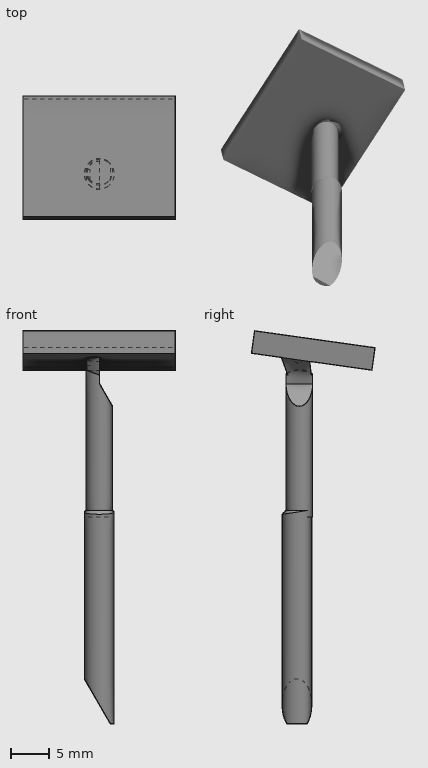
import cadquery as cq
import math

plate_width = 20.0
plate_length = 16.0
plate_thickness = 3.0
plate_tilt = 8.0
plate_top_y = -5.55
plate_top_z = 51.55

lower_radius = 1.95
shoulder_top = 28.0

upper_radius = 1.75
upper_offset_y = 0.3
upper_bottom = 27.1
upper_top = 46.4
lap_edge_z = 45.75

bevel_slope = math.tan(math.radians(60))
tip_x = 1.45
lap_face_x = 0.05
lap_bevel_z = 44.6

neck_bottom = 45.7
neck_base_radius = 1.55
neck_base_y = 0.35
neck_end_radius = 1.85
neck_end_y = -0.25
neck_end_z = 48.2

notch_back_y = 0.55
notch_front_y = -0.65
notch_back_z = 47.0
notch_front_z = 47.75
notch_top_z = 49.0
notch_face_x = -1.25


def make_plate():
    slab = cq.Workplane("XY").box(
        plate_width, plate_length, plate_thickness, centered=(True, False, False)
    )
    return (
        slab.translate((0, 0, -plate_thickness))
        .rotate((0, 0, 0), (1, 0, 0), -plate_tilt)
        .translate((0, plate_top_y, plate_top_z))
    )


def make_lower_shaft():
    cone_reach = lower_radius + upper_offset_y
    shaft = cq.Workplane("XY").circle(lower_radius).extrude(shoulder_top)
    cone = (
        cq.Workplane("XZ", origin=(0, upper_offset_y, 0))
        .polyline([
            (0, 0),
            (cone_reach, 0),
            (cone_reach, shoulder_top + upper_radius - cone_reach),
            (upper_radius, shoulder_top),
            (0, shoulder_top),
        ])
        .close()
        .revolve(360, (0, 0, 0), (0, 1, 0))
    )
    bevel_height = (tip_x + lower_radius) * bevel_slope
    bevel = (
        cq.Workplane("XZ")
        .polyline([(-lower_radius, 0), (tip_x, 0), (-lower_radius, bevel_height)])
        .close()
        .extrude(lower_radius, both=True)
    )
    return shaft.intersect(cone).cut(bevel)


def make_upper_shaft():
    shaft = (
        cq.Workplane("XY", origin=(0, upper_offset_y, upper_bottom))
        .circle(upper_radius)
        .extrude(upper_top - upper_bottom)
    )
    bevel_end_z = lap_bevel_z - (upper_radius - lap_face_x) * bevel_slope
    lap = (
        cq.Workplane("XZ", origin=(0, upper_offset_y, 0))
        .polyline([
            (-upper_radius, upper_top),
            (lap_face_x, lap_edge_z),
            (lap_face_x, lap_bevel_z),
            (upper_radius, bevel_end_z),
            (upper_radius, upper_top),
        ])
        .close()
        .extrude(upper_radius, both=True)
    )
    return shaft.cut(lap)


def half_round_wire(radius, center_y, z):
    return (
        cq.Workplane("XY", origin=(lap_face_x, center_y, z))
        .moveTo(0, -radius)
        .threePointArc((-radius, 0), (0, radius))
        .close()
        .val()
    )


def make_neck(plate):
    base = half_round_wire(neck_base_radius, neck_base_y, neck_bottom)
    end = half_round_wire(neck_end_radius, neck_end_y, neck_end_z)
    neck = cq.Workplane(cq.Solid.makeLoft([base, end], True))
    notch = (
        cq.Workplane("YZ", origin=(notch_face_x, 0, 0))
        .polyline([
            (notch_back_y, notch_back_z),
            (notch_front_y, notch_front_z),
            (notch_front_y, notch_top_z),
            (notch_back_y, notch_top_z),
        ])
        .close()
        .extrude(-neck_end_radius)
    )
    return neck.cut(notch).cut(plate)


def make_stem(plate):
    return make_lower_shaft().union(make_upper_shaft()).union(make_neck(plate))


plate = make_plate()
stem = make_stem(plate)
result = cq.Compound.makeCompound([plate.val(), *stem.vals()])